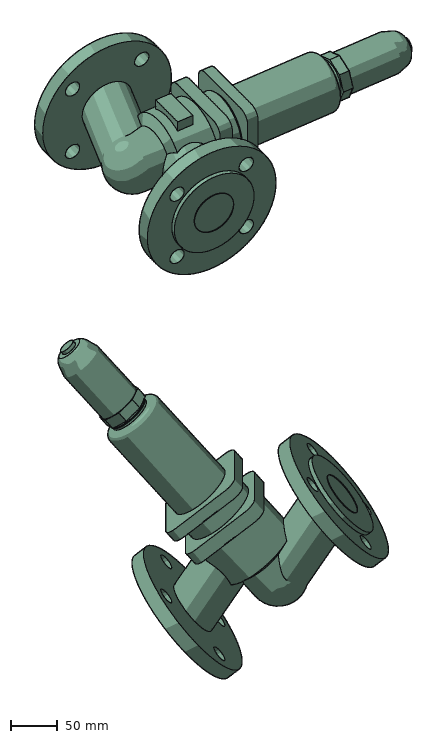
import cadquery as cq
import math


total_length = 405

face_to_face = 230.0
flange_diameter = 165.0
flange_thickness = 16.2
raised_face_diameter = 102.0
raised_face_height = 5.0
bolt_circle_diameter = 125.2
bolt_hole_diameter = 18.2
bolt_hole_count = 4
first_bolt_angle = 45
port_diameter = 50.2
port_depth = 1.0

pipe_radius = 30.5
pipe_slope = 18
elbow_radius = 33.0
elbow_center_y = -29.5
body_radius = 46.0
body_bottom_y = 3.5
body_cone_height = 6.0
body_top_y = 51.5

square_side = 96.5
square_corner_radius = 13.8
body_square_thickness = 16.0
bonnet_square_thickness = 13.5
collar_radius = 40.0
collar_length = 17.0
collar_groove_radius = 37.5
collar_groove_length = 2.5

bonnet_radius = 35.0
bonnet_length = 130.5
bonnet_fillet = 7.0
spigot_radius = 23.0
spigot_height = 3.2
spigot_chamfer = 1.0

thread_radius = 22.3
thread_length = 6.0
nut_sides = 8
nut_corner_radius = 26.7
nut_thickness = 12.5
cap_radius = 24.5
cap_length = 63.2
cap_dome_height = 19.5
cap_shoulder_radius = 20.5
cap_shoulder_height = 12.0
cap_crown_radius = 14.5
button_radius = 9.0

pad_width = 43.0
pad_height = 19.5
pad_bottom_y = 14.5
pad_top_z = 54.0

flange_radius = flange_diameter / 2
stem_top_y = total_length - flange_radius
collar_bottom_y = body_top_y + body_square_thickness
groove_bottom_y = collar_bottom_y + collar_length
bonnet_square_y = groove_bottom_y + collar_groove_length
bonnet_top_y = bonnet_square_y + bonnet_length
nut_bottom_y = bonnet_top_y + thread_length
cap_bottom_y = nut_bottom_y + nut_thickness
taper_bottom_y = cap_bottom_y + cap_length
crown_y = taper_bottom_y + cap_dome_height
flange_back_x = face_to_face / 2 - raised_face_height - flange_thickness


def cylinder(radius, bottom_y, top_y):
    """Cylinder on the stem axis."""
    return cq.Workplane("XZ", origin=(0, bottom_y, 0)).circle(radius).extrude(bottom_y - top_y)


def square_flange(bottom_y, thickness):
    """Square plate with rounded corners, across the stem axis."""
    plate = cq.Workplane("XZ", origin=(0, bottom_y, 0)).rect(square_side, square_side).extrude(-thickness)
    return plate.edges("|Y").fillet(square_corner_radius)


def pipe_flange():
    """Flange on the +X side, with its raised face, bolt holes and shallow port recess."""
    flange = (
        cq.Workplane("YZ", origin=(flange_back_x, 0, 0))
        .circle(flange_radius)
        .extrude(flange_thickness)
        .faces(">X")
        .workplane()
        .circle(raised_face_diameter / 2)
        .extrude(raised_face_height)
    )
    bolt_holes = (
        cq.Workplane("YZ", origin=(flange_back_x, 0, 0))
        .polarArray(bolt_circle_diameter / 2, first_bolt_angle, 360, bolt_hole_count)
        .circle(bolt_hole_diameter / 2)
        .extrude(flange_thickness + raised_face_height)
    )
    port = (
        cq.Workplane("YZ", origin=(face_to_face / 2, 0, 0))
        .circle(port_diameter / 2)
        .extrude(-port_depth)
    )
    return flange.cut(bolt_holes).cut(port)


def slanted_pipe():
    """Pipe from the stem axis to the middle of the +X flange, falling outwards."""
    slope = math.tan(math.radians(pipe_slope))
    start = cq.Vector(0, flange_back_x * slope, 0)
    end = cq.Vector(flange_back_x, 0, 0)
    axis = end - start
    overrun = pipe_radius * slope
    pipe = cq.Solid.makeCylinder(pipe_radius, axis.Length + overrun, start, axis)
    trim = cq.Workplane("YZ", origin=(flange_back_x, 0, 0)).circle(flange_radius).extrude(2 * overrun)
    return cq.Workplane(pipe).cut(trim)


def body():
    """Body bowl, its cone and the neck that ends in the rounded elbow."""
    cone_bottom_y = body_bottom_y - body_cone_height
    elbow_bottom_y = elbow_center_y - elbow_radius
    arc_offset = elbow_radius * math.sqrt(0.5)
    return (
        cq.Workplane("XY")
        .moveTo(0, elbow_bottom_y)
        .threePointArc((arc_offset, elbow_center_y - arc_offset), (elbow_radius, elbow_center_y))
        .lineTo(elbow_radius, cone_bottom_y)
        .lineTo(body_radius, body_bottom_y)
        .lineTo(body_radius, body_top_y)
        .lineTo(0, body_top_y)
        .close()
        .revolve(360, (0, 0, 0), (0, 1, 0))
    )


def name_plate_pad():
    """Flat pad on the +Z side of the body, rooted at the stem axis."""
    pad = cq.Workplane("XY").box(pad_width, pad_height, pad_top_z, centered=(True, False, False))
    return pad.translate((0, pad_bottom_y, 0))


def bonnet():
    """Collar with groove, both square flanges, the spring bonnet and its spigot."""
    spring_housing = cylinder(bonnet_radius, bonnet_square_y, bonnet_top_y)
    spring_housing = spring_housing.faces(">Y").edges().fillet(bonnet_fillet)
    spigot = cylinder(spigot_radius, bonnet_top_y, bonnet_top_y + spigot_height)
    spigot = spigot.faces(">Y").edges().chamfer(spigot_chamfer)
    return (
        square_flange(body_top_y, body_square_thickness)
        .union(cylinder(collar_radius, collar_bottom_y, groove_bottom_y))
        .union(cylinder(collar_groove_radius, groove_bottom_y, bonnet_square_y))
        .union(square_flange(bonnet_square_y, bonnet_square_thickness))
        .union(spring_housing)
        .union(spigot)
    )


def lock_nut():
    """Thread and octagonal nut with corners on the X and Z axes."""
    nut = (
        cq.Workplane("XZ", origin=(0, nut_bottom_y, 0))
        .polygon(nut_sides, 2 * nut_corner_radius)
        .extrude(-nut_thickness)
    )
    return cylinder(thread_radius, bonnet_top_y, nut_bottom_y).union(nut)


def cap():
    """Cap with a tapered shoulder, rounded crown and end button."""
    shoulder_y = taper_bottom_y + cap_shoulder_height
    return (
        cq.Workplane("XY")
        .moveTo(0, cap_bottom_y)
        .lineTo(cap_radius, cap_bottom_y)
        .lineTo(cap_radius, taper_bottom_y)
        .lineTo(cap_shoulder_radius, shoulder_y)
        .tangentArcPoint((cap_crown_radius, crown_y), relative=False)
        .lineTo(button_radius, crown_y)
        .lineTo(button_radius, stem_top_y)
        .lineTo(0, stem_top_y)
        .close()
        .revolve(360, (0, 0, 0), (0, 1, 0))
    )


right_end = slanted_pipe().union(pipe_flange())
left_end = right_end.rotate((0, 0, 0), (0, 0, 1), 180)

result = body()
for feature in (right_end, left_end, name_plate_pad(), bonnet(), lock_nut(), cap()):
    result = result.union(feature)